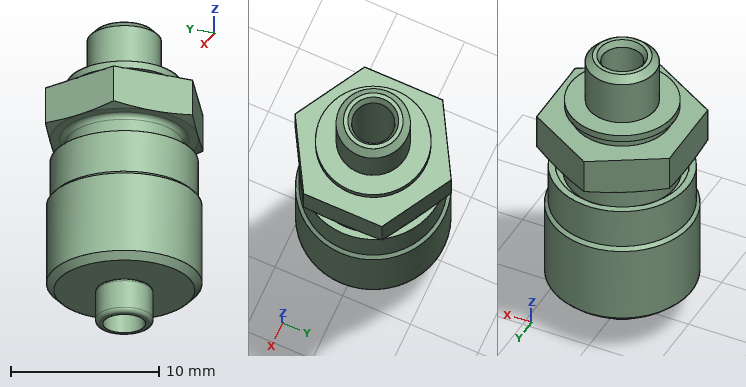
import cadquery as cq
import math

total_height = 21.5
body_bottom = 2.5
body_top = 8.75
sleeve_top = 12.02
hex_bottom = 13.7
hex_top = 16.5
washer_bottom = 17.2
washer_top = 17.72

bore_diameter = 2.9
pin_diameter = 3.9
stud_diameter = 5.0
washer_diameter = 7.8
collar_diameter = 7.0
neck_diameter = 8.0
recess_diameter = 9.0
hex_across_flats = 10.0
sleeve_diameter = 10.0
body_diameter = 10.5

body_chamfer = 0.5
stud_chamfer = 0.5
countersink_width = 0.25
countersink_depth = 0.45
pin_fillet = 0.3
pin_root_fillet = 0.22
neck_fillet = 0.37
recess_depth = 0.5
hex_chamfer_angle = 15.0


def cylinder(diameter, bottom, top):
    """Solid cylinder on the Z axis between two heights."""
    return cq.Workplane("XY").workplane(offset=bottom).circle(diameter / 2).extrude(top - bottom)


def make_pin():
    """Bottom pin, rounded at its tip and where it enters the body."""
    pin = cylinder(pin_diameter, 0, body_bottom)
    return pin.faces("<Z").edges().fillet(pin_fillet).faces(">Z").edges().fillet(pin_root_fillet)


def make_body():
    """Chamfered body and the sleeve above it, with a sloping shoulder between them."""
    body = cylinder(body_diameter, body_bottom, body_top).faces("<Z").edges().chamfer(body_chamfer)
    shoulder_height = (body_diameter - sleeve_diameter) / 2
    shoulder = (
        cq.Workplane("XY").workplane(offset=body_top).circle(body_diameter / 2)
        .workplane(offset=shoulder_height).circle(sleeve_diameter / 2).loft()
    )
    sleeve = cylinder(sleeve_diameter, body_top, sleeve_top)
    recess = cylinder(recess_diameter, sleeve_top - recess_depth, sleeve_top)
    return body.union(shoulder).union(sleeve).cut(recess)


def make_neck():
    """Neck from the recess floor to the hexagon, flaring in a concave round at the top."""
    radius = neck_diameter / 2
    offset = neck_fillet * (1 - math.sqrt(0.5))
    bottom = sleeve_top - recess_depth
    return (
        cq.Workplane("XZ")
        .moveTo(0, bottom)
        .lineTo(radius, bottom)
        .lineTo(radius, hex_bottom - neck_fillet)
        .threePointArc((radius + offset, hex_bottom - offset), (radius + neck_fillet, hex_bottom))
        .lineTo(0, hex_bottom)
        .close()
        .revolve(360, (0, 0, 0), (0, 1, 0))
    )


def make_hexagon():
    """Hexagon with corners on the Y axis and its lower corners trimmed by a cone."""
    corner_radius = hex_across_flats / math.sqrt(3)
    flat_radius = hex_across_flats / 2
    rise = (corner_radius - flat_radius) * math.tan(math.radians(hex_chamfer_angle))
    hexagon = (
        cq.Workplane("XY").workplane(offset=hex_bottom)
        .polygon(6, 2 * corner_radius).extrude(hex_top - hex_bottom)
        .rotate((0, 0, 0), (0, 0, 1), 90)
    )
    envelope = (
        cq.Workplane("XZ")
        .moveTo(0, hex_bottom)
        .lineTo(flat_radius, hex_bottom)
        .lineTo(corner_radius, hex_bottom + rise)
        .lineTo(corner_radius, hex_top)
        .lineTo(0, hex_top)
        .close()
        .revolve(360, (0, 0, 0), (0, 1, 0))
    )
    return hexagon.intersect(envelope)


def make_stud():
    """Top stud with its collar and washer."""
    collar = cylinder(collar_diameter, hex_top, washer_bottom)
    washer = cylinder(washer_diameter, washer_bottom, washer_top)
    stud = cylinder(stud_diameter, washer_top, total_height).faces(">Z").edges().chamfer(stud_chamfer)
    return collar.union(washer).union(stud)


def make_bore():
    """Through bore, countersunk at the top of the stud."""
    mouth_diameter = bore_diameter + 2 * countersink_width
    countersink = (
        cq.Workplane("XY").workplane(offset=total_height).circle(mouth_diameter / 2)
        .workplane(offset=-countersink_depth).circle(bore_diameter / 2).loft()
    )
    return cylinder(bore_diameter, 0, total_height).union(countersink)


solid_parts = make_pin().union(make_body()).union(make_neck()).union(make_hexagon()).union(make_stud())
result = solid_parts.cut(make_bore())